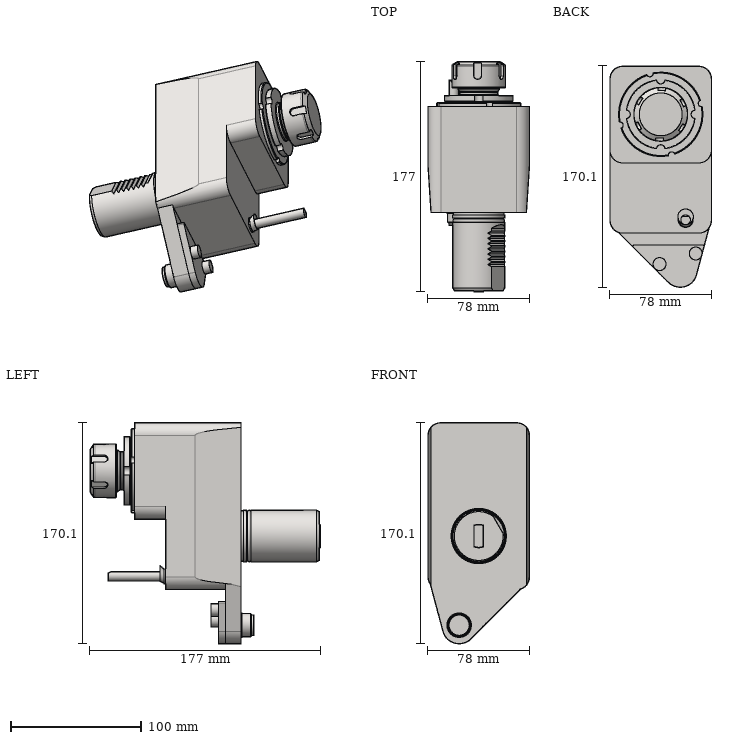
import cadquery as cq
import math


housing_width = 78.0
housing_top = 87.1
upper_bottom = 12.7
upper_depth = 81.8
lower_bottom = -41.2
lower_depth = 58.0
edge_radius = 10.0
taper_start = 35.4
taper_inset = 2.3

leg_depth = 12.2
foot_x = -15.0
foot_z = -70.0
foot_radius = 13.0
left_lean = math.radians(15)
right_lean = math.radians(45)

shank_diameter = 40.0
shank_radius = shank_diameter / 2
shank_end = -60.0
shank_chamfer_length = 2.3
shank_chamfer_depth = 1.2
recess_diameter = 41.5
recess_depth = 1.0
recess_chamfer = 0.5
neck_radius = 19.5
collar_start = -1.8
seal_start = -4.0
seal_bulge_start = -5.0
seal_end = -7.5
seal_root_radius = 19.1
seal_bulge_radius = 19.8

serration_angle = 30
flat_distance = 17.2
flat_start = -12.0
groove_count = 7
first_groove = -15.8
groove_span = 24.0
groove_pitch = groove_span / (groove_count - 1)
groove_depth = 1.8
groove_half_width = 1.6

tang_diameter = 18.0
tang_width = 7.6
tang_chamfer = 0.4
tang_end = -60.9

spindle_z = 50.1
cover_radius = 32.4
cover_chamfer = 0.7
cover_front = 84.6
spacer_radius = 21.0
ring_radius = 26.5
ring_chamfer = 0.5
ring_back = 85.3
ring_front = 90.0
neck_diameter = 29.5
neck_groove_radius = 14.2
neck_groove_start = 92.2
neck_groove_end = 93.0
neck_root_chamfer = 0.7
shoulder_radius = 16.1
shoulder_start = 93.3
shoulder_full = 94.9
nut_back = 96.0
nut_radius = 20.7
nut_back_chamfer = 0.5
nut_band_start = 112.2
nut_band_radius = 20.5
nut_chamfer_start = 113.5
nut_front = 116.1
nut_face_radius = 16.5

nut_slot_count = 6
nut_slot_angle = 32.5
nut_slot_width = 6.0
nut_slot_tip = 102.5
nut_slot_floor = 18.2
ring_notch_count = 4
ring_notch_diameter = 6.4
cover_notch_count = 4
cover_notch_angle = 75
cover_notch_diameter = 5.0

plate_thickness = 5.3
plate_top = -50.3
plate_corner_radius = 1.0
screw_diameter = 10.0
screw_height = 5.7
screw_places = [(-26.9, -56.8), (0.9, -65.0)]

pin_x = -15.0
pin_z = -68.5
pin_diameter = 18.0
pin_collar_diameter = 18.8
pin_collar_height = 0.5
pin_step_start = -7.0
pin_step_end = -8.0
pin_step_diameter = 16.5
pin_tip_diameter = 16.0
pin_end_diameter = 15.5
pin_tip_chamfer_start = -9.5
pin_end = -10.0

pipe_x = -19.1
pipe_z = -31.0
pipe_diameter = 7.5
pipe_end = 102.1
bevel_depth = 1.2
bevel_length = 2.5
seat_diameter = 11.5
seat_height = 1.0
flare_base_diameter = 11.0
flare_rim_diameter = 12.0
flare_end = 62.5
flare_rise = 2.3

OVERSHOOT = 8.9


def revolved(profile):
    """Solid of revolution about Y from (radius, y) points."""
    return cq.Workplane("XY").polyline(profile).close().revolve(360, (0, 0), (0, 1))


def disc(x, z, diameter, y_from, y_to):
    """Cylinder along Y."""
    return cq.Workplane("XZ", origin=(x, y_from, z)).circle(diameter / 2).extrude(y_from - y_to)


def rounded_block(z_bottom, z_top, depth):
    """Block of the housing width with all four long edges rounded."""
    return (
        cq.Workplane("XZ")
        .center(0, (z_bottom + z_top) / 2)
        .rect(housing_width, z_top - z_bottom)
        .extrude(-depth)
        .edges("|Y")
        .fillet(edge_radius)
    )


def leg_outline(y_from):
    """Foot arc with a straight tangent up to each side of the housing."""
    half_width = housing_width / 2
    left_x = foot_x - foot_radius * math.cos(left_lean)
    left_z = foot_z - foot_radius * math.sin(left_lean)
    right_x = foot_x + foot_radius * math.cos(right_lean)
    right_z = foot_z - foot_radius * math.sin(right_lean)
    left_shoulder = left_z + (left_x + half_width) / math.tan(left_lean)
    right_shoulder = right_z + (half_width - right_x) / math.tan(right_lean)
    return (
        cq.Workplane("XZ", origin=(0, y_from, 0))
        .moveTo(-half_width, 0)
        .lineTo(-half_width, left_shoulder)
        .lineTo(left_x, left_z)
        .threePointArc((foot_x, foot_z - foot_radius), (right_x, right_z))
        .lineTo(half_width, right_shoulder)
        .lineTo(half_width, 0)
        .close()
    )


def side_taper(side):
    """Wedge that narrows one side of the housing towards the mounting face."""
    wall = side * housing_width / 2
    slope = taper_inset / taper_start
    outside = wall + side * OVERSHOOT
    return (
        cq.Workplane("XY", origin=(0, 0, foot_z - 2 * foot_radius))
        .moveTo(wall, taper_start)
        .lineTo(wall - side * (taper_inset + slope * OVERSHOOT), -OVERSHOOT)
        .lineTo(outside, -OVERSHOOT)
        .lineTo(outside, taper_start)
        .close()
        .extrude(housing_top - foot_z + 3 * foot_radius)
    )


def make_serration():
    """Clamping flat with a 45 degree run-out and a row of V grooves, as a cutting tool."""
    outside = flat_distance + OVERSHOOT
    flat = (
        cq.Workplane("XY")
        .moveTo(flat_distance, tang_end)
        .lineTo(flat_distance, flat_start)
        .lineTo(outside, flat_start + OVERSHOOT)
        .lineTo(outside, tang_end)
        .close()
        .extrude(shank_radius, both=True)
    )
    for index in range(groove_count):
        groove_y = first_groove - index * groove_pitch
        groove = (
            cq.Workplane("XY")
            .moveTo(flat_distance - groove_depth, groove_y)
            .lineTo(flat_distance, groove_y + groove_half_width)
            .lineTo(outside, groove_y + groove_half_width)
            .lineTo(outside, groove_y - groove_half_width)
            .lineTo(flat_distance, groove_y - groove_half_width)
            .close()
            .extrude(shank_radius, both=True)
        )
        flat = flat.union(groove)
    return flat.rotate((0, 0, 0), (0, 1, 0), -serration_angle)


def make_shank():
    """Shank with a sealing ring behind its collar, a chamfered end and the drive tang."""
    seal_middle = (seal_bulge_start + seal_end) / 2
    shank = (
        cq.Workplane("XY")
        .moveTo(0, recess_depth)
        .lineTo(neck_radius, recess_depth)
        .lineTo(neck_radius, collar_start)
        .lineTo(shank_radius, collar_start)
        .lineTo(shank_radius, seal_start)
        .lineTo(seal_root_radius, seal_start)
        .lineTo(seal_root_radius, seal_bulge_start)
        .threePointArc((seal_bulge_radius, seal_middle), (seal_root_radius, seal_end))
        .lineTo(shank_radius, seal_end)
        .lineTo(shank_radius, shank_end + shank_chamfer_length)
        .lineTo(shank_radius - shank_chamfer_depth, shank_end)
        .lineTo(0, shank_end)
        .close()
        .revolve(360, (0, 0), (0, 1))
    )
    tang_slab = cq.Workplane("XZ").rect(tang_width, tang_diameter).extrude(-tang_end)
    tang = disc(0, 0, tang_diameter, shank_end, tang_end).intersect(tang_slab)
    tang = tang.faces("<Y").chamfer(tang_chamfer)
    return shank.cut(make_serration()).union(tang)


def make_recess():
    """Chamfered recess of the mounting face around the shank neck, as a cutting tool."""
    return revolved([
        (0, 0),
        (recess_diameter / 2 + recess_chamfer, 0),
        (recess_diameter / 2, recess_chamfer),
        (recess_diameter / 2, recess_depth),
        (0, recess_depth),
    ])


def make_housing():
    """Stepped body with rounded edges and tapered sides, its leg and its shank."""
    upper = rounded_block(upper_bottom, housing_top, upper_depth)
    lower = rounded_block(lower_bottom, housing_top, lower_depth)
    body = upper.union(lower).union(leg_outline(0).extrude(-leg_depth))
    for side in (-1, 1):
        body = body.cut(side_taper(side))
    return body.cut(make_recess()).union(make_shank())


def make_spindle():
    """Bearing cover, lock ring, neck and collet nut, all round about the spindle axis."""
    spindle = revolved([
        (0, upper_depth),
        (cover_radius, upper_depth),
        (cover_radius, cover_front - cover_chamfer),
        (cover_radius - cover_chamfer, cover_front),
        (spacer_radius, cover_front),
        (spacer_radius, ring_back),
        (ring_radius - ring_chamfer, ring_back),
        (ring_radius, ring_back + ring_chamfer),
        (ring_radius, ring_front),
        (neck_diameter / 2 + neck_root_chamfer, ring_front),
        (neck_diameter / 2, ring_front + neck_root_chamfer),
        (neck_diameter / 2, neck_groove_start),
        (neck_groove_radius, neck_groove_start),
        (neck_groove_radius, neck_groove_end),
        (neck_diameter / 2, neck_groove_end),
        (neck_diameter / 2, shoulder_start),
        (shoulder_radius, shoulder_full),
        (shoulder_radius, nut_back),
        (nut_radius - nut_back_chamfer, nut_back),
        (nut_radius, nut_back + nut_back_chamfer),
        (nut_radius, nut_band_start),
        (nut_band_radius, nut_chamfer_start),
        (nut_face_radius, nut_front),
        (0, nut_front),
    ])
    for index in range(nut_slot_count):
        spindle = spindle.cut(make_nut_slot(nut_slot_angle + index * 360 / nut_slot_count))
    for index in range(ring_notch_count):
        angle = index * 360 / ring_notch_count
        spindle = spindle.cut(make_notch(ring_radius, angle, ring_notch_diameter, ring_back, ring_front))
    for index in range(cover_notch_count):
        angle = cover_notch_angle + index * 360 / cover_notch_count
        spindle = spindle.cut(
            make_notch(cover_radius, angle, cover_notch_diameter, upper_depth, cover_front)
        )
    return spindle.translate((0, 0, spindle_z))


def make_nut_slot(angle):
    """Flat-floored slot that runs from the nut face to a round end."""
    slot_depth = nut_radius - nut_slot_floor + OVERSHOOT
    round_centre = nut_slot_tip + nut_slot_width / 2
    slot = (
        cq.Workplane("YZ", origin=(nut_slot_floor, 0, 0))
        .moveTo(nut_front, -nut_slot_width / 2)
        .lineTo(round_centre, -nut_slot_width / 2)
        .threePointArc((nut_slot_tip, 0), (round_centre, nut_slot_width / 2))
        .lineTo(nut_front, nut_slot_width / 2)
        .close()
        .extrude(slot_depth)
    )
    return slot.rotate((0, 0, 0), (0, 1, 0), -angle)


def make_notch(rim_radius, angle, diameter, y_from, y_to):
    """Half-round notch centred on a rim."""
    notch = disc(rim_radius, 0, diameter, y_from, y_to)
    return notch.rotate((0, 0, 0), (0, 1, 0), -angle)


def make_plate():
    """Plate of the leg outline, cut off straight below the housing."""
    above = (
        cq.Workplane("XZ", origin=(0, leg_depth, 0))
        .rect(2 * housing_width, -2 * plate_top)
        .extrude(-plate_thickness)
    )
    plate = leg_outline(leg_depth).extrude(-plate_thickness).cut(above)
    return plate.faces(">Z").edges("|Y").fillet(plate_corner_radius)


def make_screw(x, z):
    seat = leg_depth + plate_thickness
    return disc(x, z, screw_diameter, seat, seat + screw_height)


def make_pin():
    pin = revolved([
        (0, 0),
        (pin_collar_diameter / 2, 0),
        (pin_collar_diameter / 2, -pin_collar_height),
        (pin_diameter / 2, -pin_collar_height),
        (pin_diameter / 2, pin_step_start),
        (pin_step_diameter / 2, pin_step_end),
        (pin_tip_diameter / 2, pin_step_end),
        (pin_tip_diameter / 2, pin_tip_chamfer_start),
        (pin_end_diameter / 2, pin_end),
        (0, pin_end),
    ])
    return pin.translate((pin_x, 0, pin_z))


def make_pipe():
    """Coolant pipe with a bevelled tip, rising from a seat with an oblique flare."""
    flare_start = lower_depth + seat_height
    seat = disc(pipe_x, pipe_z, seat_diameter, lower_depth, flare_start)
    flare = (
        cq.Workplane("XZ", origin=(pipe_x, flare_start, pipe_z))
        .circle(flare_base_diameter / 2)
        .workplane(offset=flare_start - flare_end)
        .center(0, flare_rise)
        .circle(flare_rim_diameter / 2)
        .loft()
    )
    pipe_top = pipe_z + pipe_diameter / 2
    bevel = (
        cq.Workplane("YZ", origin=(pipe_x, 0, 0))
        .moveTo(pipe_end, pipe_top)
        .lineTo(pipe_end - bevel_length, pipe_top)
        .lineTo(pipe_end, pipe_top - bevel_depth)
        .close()
        .extrude(pipe_diameter, both=True)
    )
    pipe = disc(pipe_x, pipe_z, pipe_diameter, flare_start, pipe_end).cut(bevel)
    return seat.union(flare).union(pipe)


housing = make_housing()
spindle = make_spindle()
plate = make_plate()
screws = [make_screw(x, z) for x, z in screw_places]
pin = make_pin()
pipe = make_pipe()

result = cq.Compound.makeCompound([
    housing.val(),
    spindle.val(),
    plate.val(),
    *[screw.val() for screw in screws],
    pin.val(),
    pipe.val(),
])